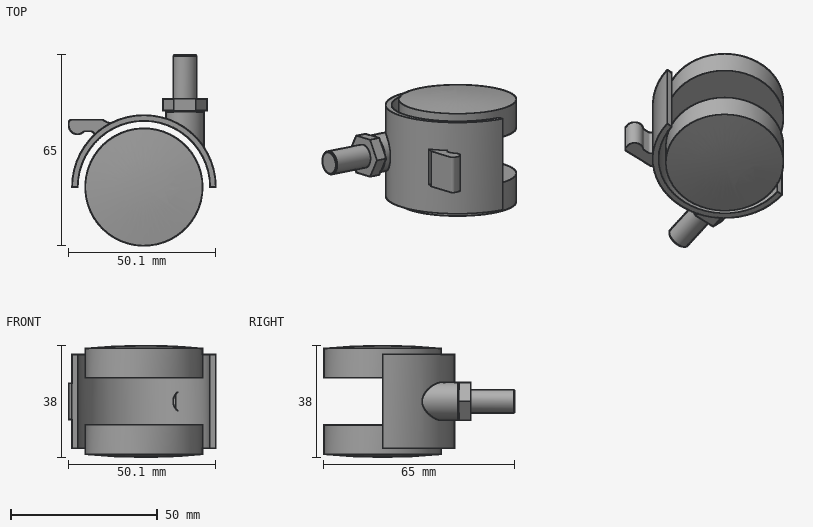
import cadquery as cq
import math

OVERALL_LENGTH = 65.0
OVERALL_HEIGHT = 38.0

WHEEL_RADIUS = 20.0
WHEEL_GAP = 16.0
WHEEL_RIM_WIDTH = 10.0

SHELL_OUTER_RADIUS = 24.5
SHELL_INNER_RADIUS = 22.5
SHELL_HEIGHT = 32.0

LEVER_HEIGHT = 12.35
LEVER_END_X = -25.6
LEVER_TOP_Y = 22.95
LEVER_UNDERSIDE_Y = 19.0
LEVER_TIP_RADIUS = 3.0
LEVER_TIP_CENTER_Y = 20.9
LEVER_FILLET_RADIUS = 1.0
LEVER_ROOT_CORNER_X = -17.75
LEVER_TOP_CORNER_X = -14.05
LEVER_TOP_DIP = (-12.7, 22.15)
LEVER_TOP_ROOT = (-11.25, 21.7)
LEVER_LOWER_ROOT = (-16.25, 17.55)

STEM_X = 14.0
STEM_RADIUS = 4.0
STEM_CHAMFER = 0.4
STEM_INNER_END_Y = 19.7
STEM_OUTER_END_Y = OVERALL_LENGTH - WHEEL_RADIUS
NUT_BOTTOM_Y = 26.0
NUT_THICKNESS = 4.0
NUT_ACROSS_FLATS = 13.0
BOSS_RADIUS = 6.5
BOSS_TOP_Y = 25.6


def rod_along_y(radius, start_y, end_y):
    """Cylinder on the stem axis between two Y positions."""
    return cq.Workplane(
        cq.Solid.makeCylinder(radius, end_y - start_y, cq.Vector(STEM_X, start_y, 0), cq.Vector(0, 1, 0))
    )


def centered_cylinder(radius, height):
    """Cylinder on the wheel axis, centered at mid-height."""
    return cq.Workplane("XY", origin=(0, 0, -height / 2)).circle(radius).extrude(height)


def make_wheel(side):
    """Wheel with a flat inner face and a shallow domed outer face; side is +1 (upper) or -1 (lower)."""
    inner_z = WHEEL_GAP / 2
    rim_z = inner_z + WHEEL_RIM_WIDTH
    crown_z = OVERALL_HEIGHT / 2
    dome_height = crown_z - rim_z
    dome_radius = (WHEEL_RADIUS**2 + dome_height**2) / (2 * dome_height)
    mid_radius = WHEEL_RADIUS / 2
    mid_z = crown_z - dome_radius + math.sqrt(dome_radius**2 - mid_radius**2)
    return (
        cq.Workplane("XZ")
        .moveTo(0, side * inner_z)
        .lineTo(WHEEL_RADIUS, side * inner_z)
        .lineTo(WHEEL_RADIUS, side * rim_z)
        .threePointArc((mid_radius, side * mid_z), (0, side * crown_z))
        .close()
        .revolve(360, (0, 0, 0), (0, 1, 0))
    )


def make_lever():
    """Brake lever with a rounded tip; its root reaches into the shell wall."""
    tip_center_x = LEVER_END_X + LEVER_TIP_RADIUS
    tip_low_point = (tip_center_x, LEVER_TIP_CENTER_Y - LEVER_TIP_RADIUS)
    tip_exit_drop = LEVER_TIP_CENTER_Y - LEVER_UNDERSIDE_Y
    tip_exit_x = tip_center_x + math.sqrt(LEVER_TIP_RADIUS**2 - tip_exit_drop**2)
    lever = (
        cq.Workplane("XY", origin=(0, 0, -LEVER_HEIGHT / 2))
        .moveTo(LEVER_END_X, LEVER_TOP_Y)
        .lineTo(LEVER_TOP_CORNER_X, LEVER_TOP_Y)
        .threePointArc(LEVER_TOP_DIP, LEVER_TOP_ROOT)
        .lineTo(*LEVER_LOWER_ROOT)
        .lineTo(LEVER_ROOT_CORNER_X, LEVER_UNDERSIDE_Y)
        .lineTo(tip_exit_x, LEVER_UNDERSIDE_Y)
        .threePointArc(tip_low_point, (LEVER_END_X, LEVER_TIP_CENTER_Y))
        .close()
        .extrude(LEVER_HEIGHT)
    )
    rounded_corners = [
        (LEVER_END_X, LEVER_TOP_Y, 0),
        (LEVER_ROOT_CORNER_X, LEVER_UNDERSIDE_Y, 0),
        (tip_exit_x, LEVER_UNDERSIDE_Y, 0),
    ]
    for corner in rounded_corners:
        lever = lever.edges(cq.selectors.NearestToPointSelector(corner)).fillet(LEVER_FILLET_RADIUS)
    return lever


def make_housing(stem):
    """Half-round shell with the brake lever and the stem socket."""
    outer = centered_cylinder(SHELL_OUTER_RADIUS, SHELL_HEIGHT)
    bore = centered_cylinder(SHELL_INNER_RADIUS, SHELL_HEIGHT)
    open_half = cq.Workplane("XY").box(
        2 * SHELL_OUTER_RADIUS, SHELL_OUTER_RADIUS, SHELL_HEIGHT
    ).translate((0, -SHELL_OUTER_RADIUS / 2, 0))
    boss = rod_along_y(BOSS_RADIUS, 0, BOSS_TOP_Y)
    return outer.cut(open_half).union(boss).union(make_lever()).cut(bore).cut(stem)


def make_stem():
    """Round stem with a chamfered outer end and a fixed hexagon nut; inner end flush with the shell bore."""
    rod = rod_along_y(STEM_RADIUS, STEM_INNER_END_Y, STEM_OUTER_END_Y)
    rod = rod.faces(">Y").chamfer(STEM_CHAMFER)
    across_corners = NUT_ACROSS_FLATS / math.cos(math.pi / 6)
    nut = (
        cq.Workplane("XZ", origin=(STEM_X, NUT_BOTTOM_Y, 0))
        .polygon(6, across_corners)
        .extrude(-NUT_THICKNESS)
    )
    bore = centered_cylinder(SHELL_INNER_RADIUS, SHELL_HEIGHT)
    return rod.union(nut).cut(bore)


wheels = [make_wheel(side) for side in (1, -1)]
stem = make_stem()
housing = make_housing(stem)

result = cq.Compound.makeCompound([housing.val(), stem.val(), *[wheel.val() for wheel in wheels]])